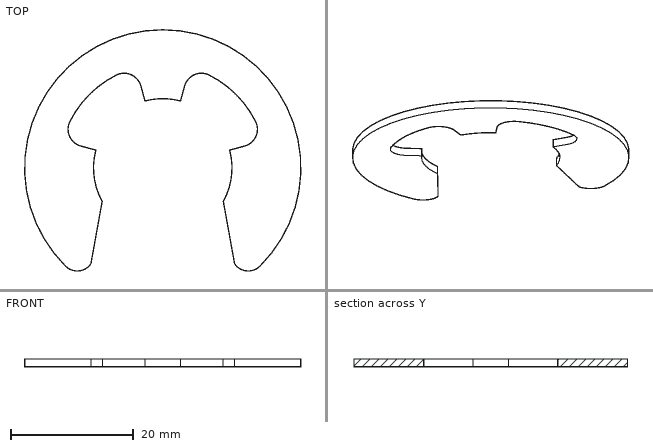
import math

import cadquery as cq


outer_diameter = 45.04
overall_length = 39.33
thickness = 1.27
tooth_edge_angle = 15.0
lip_half_gap = 9.85
tip_half_gap = 11.68
rim_end_angle = 45.0
tip_radius = 2.7

outer_radius = outer_diameter / 2
seat_radius = outer_radius / 2
pocket_radius = outer_radius * 3 / 4
pocket_corner_radius = outer_radius / 8


def polar(radius, angle):
    """Point at a radius and an angle in degrees from the +X axis."""
    return (radius * math.cos(math.radians(angle)), radius * math.sin(math.radians(angle)))


def mirrored(point):
    """The same point on the other side of the YZ plane."""
    return (-point[0], point[1])


def make_blank():
    """C-shaped plate: outer rim, rounded prong tips, flared opening and circular shaft seat."""
    rim_end = polar(outer_radius, -rim_end_angle)
    tip_center_y = outer_radius - overall_length + tip_radius
    tip_center_x = rim_end[0] - math.sqrt(tip_radius**2 - (rim_end[1] - tip_center_y) ** 2)

    tip_bottom = (tip_center_x, tip_center_y - tip_radius)
    tip_drop = math.sqrt(tip_radius**2 - (tip_center_x - tip_half_gap) ** 2)
    tip_end = (tip_half_gap, tip_center_y - tip_drop)
    lip = (lip_half_gap, -math.sqrt(seat_radius**2 - lip_half_gap**2))

    return (
        cq.Workplane("XY")
        .moveTo(*rim_end)
        .threePointArc((0, outer_radius), mirrored(rim_end))
        .threePointArc(mirrored(tip_bottom), mirrored(tip_end))
        .lineTo(*mirrored(lip))
        .threePointArc((0, seat_radius), lip)
        .lineTo(*tip_end)
        .threePointArc(tip_bottom, rim_end)
        .close()
        .extrude(thickness)
    )


def make_right_pocket():
    """Sector between the middle and right teeth, with its two outer corners rounded."""
    start_angle = tooth_edge_angle
    end_angle = 90.0 - tooth_edge_angle
    middle_angle = (start_angle + end_angle) / 2
    sector = (
        cq.Workplane("XY")
        .lineTo(*polar(pocket_radius, start_angle))
        .threePointArc(polar(pocket_radius, middle_angle), polar(pocket_radius, end_angle))
        .close()
        .extrude(thickness)
    )
    return sector.edges("|Z").edges(">X or >Y").fillet(pocket_corner_radius)


right_pocket = make_right_pocket()
left_pocket = right_pocket.mirror("YZ")
result = make_blank().cut(right_pocket).cut(left_pocket)